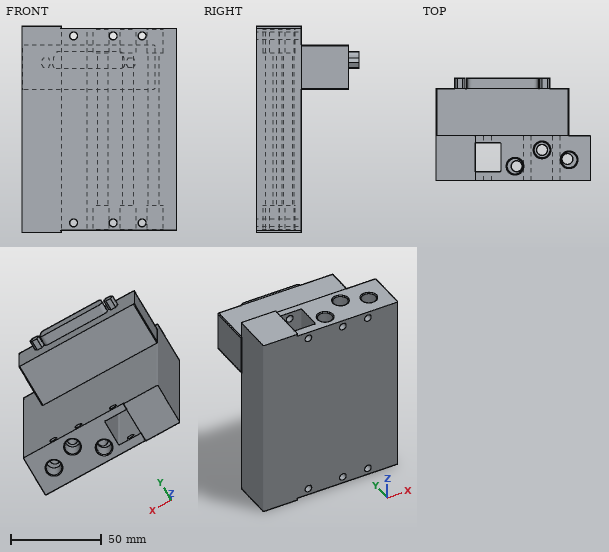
import cadquery as cq
import math

body_width = 86.0
body_depth = 25.0
body_height = 114.5
edge_radius = 0.5

cap_width = 22.0
step_height = 1.3
slab_top = body_height - step_height

channel_right = 36.2
channel_front = 5.0
channel_back = 21.0
channel_corner_radius = 0.6

port_spacing = 15.0
port_middle_x = 59.0
port_left_x = port_middle_x - port_spacing
port_right_x = port_middle_x + port_spacing
port_diameter = 8.7
port_chamfer = 0.6
port_depth = 13.7
bore_diameter = 6.0
bore_shift = 0.9
PORTS = [
    (port_left_x, 8.0, port_left_x + bore_shift, 8.0),
    (port_middle_x, 17.1, port_middle_x, 17.1),
    (port_right_x, 11.6, port_right_x - bore_shift, 12.0),
]

mount_diameter = 4.2
mount_inset = 5.4
mount_xs = [28.7, 50.7, 66.8]

housing_width = 73.9
housing_depth = 26.1
housing_height = 24.7
housing_top = 104.2
housing_chamfer = 0.6

plug_length = 5.8
plug_width = 41.0
plug_shift = 0.2
plug_height = 9.4
plug_center_z = 95.7
plug_side_angle = 10.0
plug_corner_radius = 2.5
lock_sides = 6
lock_spacing = 47.1
lock_flats = 5.0
lock_center_z = 94.2

housing_center_x = housing_width / 2
housing_back = body_depth + housing_depth


def make_rounded_block(width, bottom, top):
    """Full-depth block from the left side, with rounded upright edges."""
    return (
        cq.Workplane("XY", origin=(0, 0, bottom))
        .rect(width, body_depth, centered=False)
        .extrude(top - bottom)
        .edges("|Z")
        .fillet(edge_radius)
    )


def make_body():
    """Wide slab and the taller cap column that stands proud of it at both ends."""
    slab = make_rounded_block(body_width, step_height, slab_top)
    cap = make_rounded_block(cap_width, 0, body_height)
    return slab.union(cap)


def make_channel():
    """Square channel open at both lowered ends, rounded on the side away from the cap."""
    return (
        cq.Workplane("XY")
        .moveTo(cap_width, channel_front)
        .rect(channel_right - cap_width, channel_back - channel_front, centered=False)
        .extrude(body_height)
        .edges("|Z and >X")
        .fillet(channel_corner_radius)
    )


def make_port(port_x, port_y, bore_x, bore_y):
    """Chamfered port in each end with a through bore between them."""
    top_port = (
        cq.Workplane("XY", origin=(port_x, port_y, slab_top - port_depth))
        .circle(port_diameter / 2)
        .extrude(port_depth)
    )
    mouth_radius = port_diameter / 2 + port_chamfer
    mouth = cq.Workplane(
        cq.Solid.makeCone(
            mouth_radius, port_diameter / 2, port_chamfer,
            pnt=cq.Vector(port_x, port_y, slab_top), dir=cq.Vector(0, 0, -1),
        )
    )
    top_port = top_port.union(mouth)
    bottom_port = top_port.mirror("XY", (0, 0, body_height / 2))
    bore = (
        cq.Workplane("XY", origin=(bore_x, bore_y, 0))
        .circle(bore_diameter / 2)
        .extrude(body_height)
    )
    return bore.union(top_port).union(bottom_port)


def make_mount_holes():
    """Two rows of plain holes through the slab from front to back."""
    centers = [(x, z) for x in mount_xs for z in (mount_inset, body_height - mount_inset)]
    return (
        cq.Workplane("XZ")
        .pushPoints(centers)
        .circle(mount_diameter / 2)
        .extrude(-body_depth)
    )


def make_housing():
    """Rectangular connector housing with chamfered edges along its depth."""
    return (
        cq.Workplane("XZ", origin=(0, body_depth, housing_top - housing_height))
        .rect(housing_width, housing_height, centered=False)
        .extrude(-housing_depth)
        .edges("|Y")
        .chamfer(housing_chamfer)
    )


def make_plug():
    """D-shaped plug, wider at the bottom, with rounded corners."""
    half_bottom = plug_width / 2
    half_top = half_bottom - plug_height * math.tan(math.radians(plug_side_angle))
    half_height = plug_height / 2
    return (
        cq.Workplane("XZ", origin=(housing_center_x + plug_shift, housing_back, plug_center_z))
        .polyline([
            (-half_bottom, -half_height),
            (half_bottom, -half_height),
            (half_top, half_height),
            (-half_top, half_height),
        ])
        .close()
        .extrude(-plug_length)
        .edges("|Y")
        .fillet(plug_corner_radius)
    )


def make_screw_locks():
    """Hexagonal screw locks on both sides of the plug, flats facing up and down."""
    corner_radius = lock_flats / (2 * math.cos(math.pi / lock_sides))
    corner_angles = [2 * math.pi * i / lock_sides for i in range(lock_sides)]
    corners = [(corner_radius * math.cos(a), corner_radius * math.sin(a)) for a in corner_angles]
    hexagon = cq.Sketch().polygon(corners + corners[:1])
    return (
        cq.Workplane("XZ", origin=(housing_center_x, housing_back, lock_center_z))
        .pushPoints([(-lock_spacing / 2, 0), (lock_spacing / 2, 0)])
        .placeSketch(hexagon)
        .extrude(-plug_length)
    )


result = make_body().cut(make_channel()).cut(make_mount_holes())
for port in PORTS:
    result = result.cut(make_port(*port))
result = result.union(make_housing()).union(make_plug()).union(make_screw_locks())